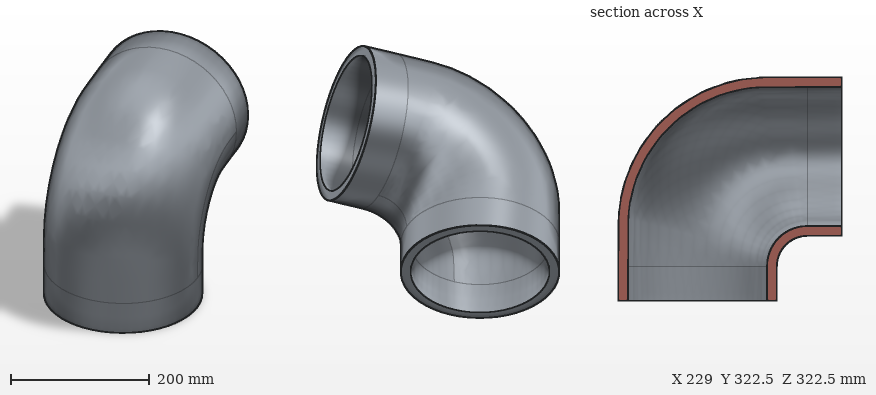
import cadquery as cq
import math

overall = 322.5
outer_diameter = 229.0
bore_diameter = 200.0
collar_length = 50.0
outside_bend_radius = 215.0
mouth_chamfer = 0.5
bend_sections = 25

inside_bend_radius = overall - outer_diameter - collar_length
axis_offset = inside_bend_radius + outer_diameter / 2
outside_reach = overall - collar_length
outside_bend_centre = outside_reach - outside_bend_radius


def outside_distance(angle, wall):
    """Distance from the origin to the outside of the bend, moved inward by wall."""
    c, s = math.cos(angle), math.sin(angle)
    reach = outside_reach - wall
    larger, smaller = max(c, s), min(c, s)
    if reach * smaller / larger <= outside_bend_centre:
        return reach / larger
    radius = outside_bend_radius - wall
    half_chord = math.sqrt(radius**2 - (outside_bend_centre * (c - s)) ** 2)
    return outside_bend_centre * (c + s) + half_chord


def bend(diameter):
    """Loft through elliptical sections of constant width in X."""
    wall = (outer_diameter - diameter) / 2
    sections = []
    for i in range(bend_sections):
        angle = math.pi / 2 * i / (bend_sections - 1)
        c, s = math.cos(angle), math.sin(angle)
        near = inside_bend_radius + wall
        far = outside_distance(angle, wall)
        middle = (near + far) / 2
        plane = cq.Plane(
            origin=(0, -middle * c, middle * s),
            xDir=(1, 0, 0),
            normal=(0, s, c),
        )
        section = cq.Workplane(plane).ellipse(diameter / 2, (far - near) / 2)
        sections.append(section.val())
    return cq.Workplane(obj=cq.Solid.makeLoft(sections))


def lower_collar(diameter):
    plane = cq.Plane(origin=(0, -axis_offset, 0), xDir=(1, 0, 0), normal=(0, 0, -1))
    return cq.Workplane(plane).circle(diameter / 2).extrude(collar_length)


def side_collar(diameter):
    plane = cq.Plane(origin=(0, 0, axis_offset), xDir=(1, 0, 0), normal=(0, 1, 0))
    return cq.Workplane(plane).circle(diameter / 2).extrude(collar_length)


lower_end = lower_collar(outer_diameter).faces("<Z").chamfer(mouth_chamfer)
side_end = side_collar(outer_diameter).faces(">Y").chamfer(mouth_chamfer)
body = bend(outer_diameter).union(lower_end).union(side_end)

bore = bend(bore_diameter).union(lower_collar(bore_diameter)).union(side_collar(bore_diameter))

result = cq.Workplane(obj=body.cut(bore).solids().val())